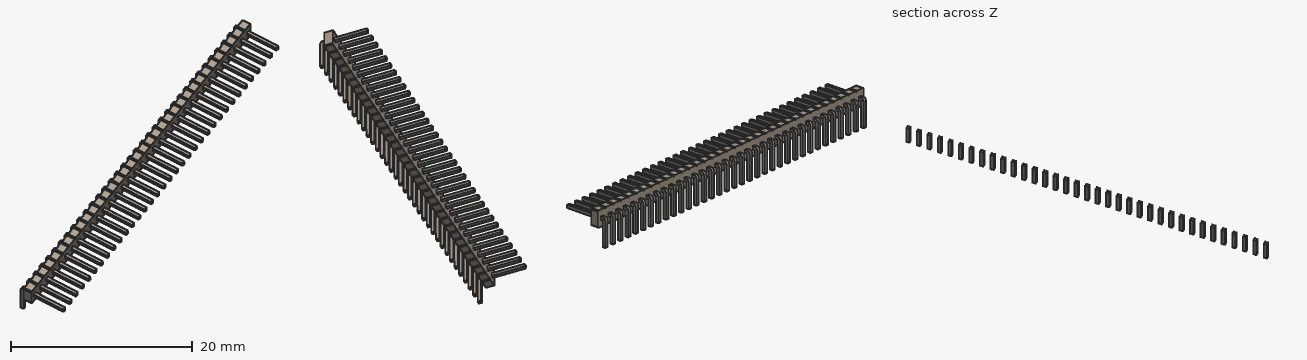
import cadquery as cq

pin_count = 35
pitch = 1.27
overall_height = 4.5

housing_depth = 1.0
housing_height = 2.1
cell_chamfer = pitch / 10

pin_width = 0.4
front_reach = 4.0
tail_offset = 0.7
bend_radius = pin_width
tip_chamfer = pin_width / 4

front_tip_x = housing_depth / 2 + front_reach
tail_back_x = -housing_depth / 2 - tail_offset
tail_tip_z = housing_height / 2 - overall_height


def make_cell():
    """Housing block for one pin; neighbouring chamfers meet as V-grooves."""
    return cq.Workplane("XY").box(housing_depth, pitch, housing_height).edges("|X").chamfer(cell_chamfer)


def make_pin():
    """L-shaped square pin with a rounded outer bend and chamfered tips."""
    half_width = pin_width / 2
    tail_front_x = tail_back_x + pin_width
    outline = [
        (front_tip_x, half_width),
        (tail_back_x, half_width),
        (tail_back_x, tail_tip_z),
        (tail_front_x, tail_tip_z),
        (tail_front_x, -half_width),
        (front_tip_x, -half_width),
    ]
    bar = cq.Workplane("XZ").polyline(outline).close().extrude(half_width, both=True)
    bent = bar.edges("|Y and <X and >Z").fillet(bend_radius)
    return bent.faces(">X or <Z").chamfer(tip_chamfer)


def make_header():
    """Row of identical cells and pins, centred on Y = 0."""
    row = cq.Workplane("XY").rarray(1, pitch, 1, pin_count)
    cell = make_cell().val()
    pin = make_pin().val()
    housing = row.eachpoint(lambda place: cell.moved(place), combine=True)
    pins = row.eachpoint(lambda place: pin.moved(place))
    return housing.union(pins)


result = make_header()